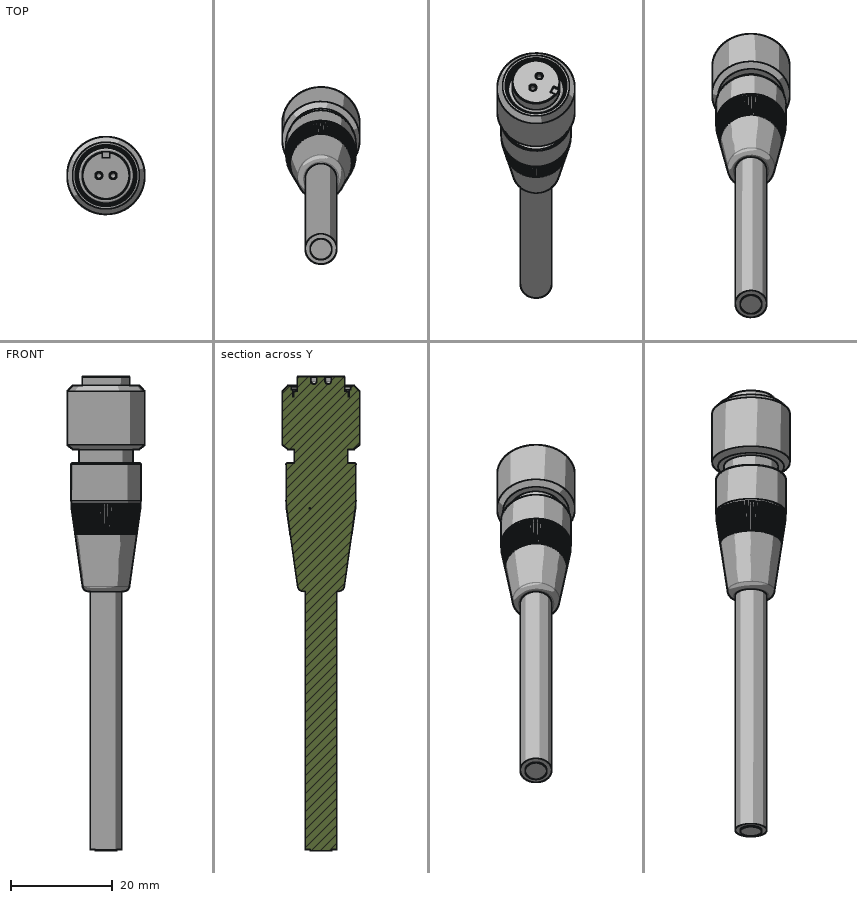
import cadquery as cq

TOTAL_LENGTH = 93.27

CABLE_DIAMETER = 6.22
CORE_DIAMETER = 4.27
CORE_PROTRUSION = 0.25

BOOT_BOTTOM = TOTAL_LENGTH - 42.3
BOOT_TIP_DIAMETER = 9.0
BOOT_TIP_ROUND = 1.2
BOOT_SHOULDER_DIAMETER = 13.7
BOOT_SHOULDER_BOTTOM = TOTAL_LENGTH - 25.6
COLLAR_DIAMETER = 13.8
COLLAR_BOTTOM = TOTAL_LENGTH - 24.5
COLLAR_TOP = TOTAL_LENGTH - 17.0
COLLAR_CHAMFER = 0.25

GROOVE_COUNT = 60
GROOVE_SHARE = 0.5
GROOVE_DEPTH = 0.2
GROOVE_TOP = TOTAL_LENGTH - 24.95
GROOVE_BOTTOM = TOTAL_LENGTH - 31.0

NECK_DIAMETER = 10.67

NUT_DIAMETER = 15.34
NUT_TOP = TOTAL_LENGTH - 1.8
NUT_BOTTOM = TOTAL_LENGTH - 14.4
NUT_TOP_CHAMFER_HEIGHT = 1.15
NUT_BOTTOM_CHAMFER_HEIGHT = 0.9
NUT_TOP_FACE_DIAMETER = 13.15
NUT_BOTTOM_FACE_DIAMETER = 13.0
NUT_BORE_DIAMETER = 11.68
NUT_BORE_MOUTH_DIAMETER = 12.12
NUT_LEDGE_DEPTH = 0.8
NUT_INNER_BORE_DIAMETER = 11.1
NUT_BORE_DEPTH = 2.2

INSERT_DIAMETER = 9.4
INSERT_CHAMFER = 0.15

SEAL_INNER_DIAMETER = 8.9
SEAL_OUTER_DIAMETER = 10.9
SEAL_TOP = NUT_TOP - 1.1

SOCKET_SPACING = 2.8
SOCKET_DIAMETER = 1.14
SOCKET_MOUTH_DIAMETER = 1.5
SOCKET_DEPTH = 1.5

KEYWAY_WIDTH = 1.4
KEYWAY_FLOOR_RADIUS = 3.5
KEYWAY_DEPTH = 0.6


def cylinder(diameter, bottom, top):
    return cq.Workplane("XY").workplane(offset=bottom).circle(diameter / 2).extrude(top - bottom)


def make_cable():
    jacket = cylinder(CABLE_DIAMETER, CORE_PROTRUSION, BOOT_BOTTOM)
    core = cylinder(CORE_DIAMETER, 0, CORE_PROTRUSION)
    return jacket.union(core)


def make_boot():
    shoulder_radius = BOOT_SHOULDER_DIAMETER / 2
    body = (
        cq.Workplane("XZ")
        .moveTo(0, BOOT_BOTTOM)
        .lineTo(BOOT_TIP_DIAMETER / 2, BOOT_BOTTOM)
        .lineTo(shoulder_radius, BOOT_SHOULDER_BOTTOM)
        .lineTo(shoulder_radius, COLLAR_BOTTOM)
        .lineTo(0, COLLAR_BOTTOM)
        .close()
        .revolve(360, (0, 0), (0, 1))
        .faces("<Z")
        .edges()
        .fillet(BOOT_TIP_ROUND)
    )
    collar = cylinder(COLLAR_DIAMETER, COLLAR_BOTTOM, COLLAR_TOP)
    collar = collar.faces(">Z").edges().chamfer(COLLAR_CHAMFER)
    return cut_grip_grooves(body).union(collar)


def boot_cone_radius(height):
    """Radius of the tapered part of the boot at a height below its shoulder."""
    rise = (height - BOOT_BOTTOM) / (BOOT_SHOULDER_BOTTOM - BOOT_BOTTOM)
    return (BOOT_TIP_DIAMETER + rise * (BOOT_SHOULDER_DIAMETER - BOOT_TIP_DIAMETER)) / 2


def cut_grip_grooves(body):
    pitch_angle = 360 / GROOVE_COUNT
    groove_angle = pitch_angle * GROOVE_SHARE
    shoulder_floor = BOOT_SHOULDER_DIAMETER / 2 - GROOVE_DEPTH
    bottom_floor = boot_cone_radius(GROOVE_BOTTOM) - GROOVE_DEPTH
    clear_radius = COLLAR_DIAMETER
    groove = (
        cq.Workplane("XZ")
        .moveTo(bottom_floor, GROOVE_BOTTOM)
        .lineTo(clear_radius, GROOVE_BOTTOM)
        .lineTo(clear_radius, GROOVE_TOP)
        .lineTo(shoulder_floor, GROOVE_TOP)
        .lineTo(shoulder_floor, BOOT_SHOULDER_BOTTOM)
        .close()
        .revolve(groove_angle, (0, 0), (0, 1))
        .rotate((0, 0, 0), (0, 0, 1), groove_angle / 2)
    )
    grooves = [
        groove.rotate((0, 0, 0), (0, 0, 1), pitch_angle * index).val()
        for index in range(GROOVE_COUNT)
    ]
    return body.cut(cq.Compound.makeCompound(grooves))


def make_nut():
    radius = NUT_DIAMETER / 2
    bore_radius = NUT_BORE_DIAMETER / 2
    mouth_radius = NUT_BORE_MOUTH_DIAMETER / 2
    inner_radius = NUT_INNER_BORE_DIAMETER / 2
    ledge = NUT_TOP - NUT_LEDGE_DEPTH
    bore_floor = NUT_TOP - NUT_BORE_DEPTH
    mouth_chamfer = mouth_radius - bore_radius
    return (
        cq.Workplane("XZ")
        .moveTo(0, NUT_BOTTOM)
        .lineTo(NUT_BOTTOM_FACE_DIAMETER / 2, NUT_BOTTOM)
        .lineTo(radius, NUT_BOTTOM + NUT_BOTTOM_CHAMFER_HEIGHT)
        .lineTo(radius, NUT_TOP - NUT_TOP_CHAMFER_HEIGHT)
        .lineTo(NUT_TOP_FACE_DIAMETER / 2, NUT_TOP)
        .lineTo(mouth_radius, NUT_TOP)
        .lineTo(bore_radius, NUT_TOP - mouth_chamfer)
        .lineTo(bore_radius, ledge)
        .lineTo(inner_radius, ledge)
        .lineTo(inner_radius, bore_floor)
        .lineTo(0, bore_floor)
        .close()
        .revolve(360, (0, 0), (0, 1))
    )


def make_seal():
    inner_radius = SEAL_INNER_DIAMETER / 2
    outer_radius = SEAL_OUTER_DIAMETER / 2
    rim_radius = (outer_radius - inner_radius) / 2
    bore_floor = NUT_TOP - NUT_BORE_DEPTH
    rim_base = SEAL_TOP - rim_radius
    return (
        cq.Workplane("XZ")
        .moveTo(inner_radius, bore_floor)
        .lineTo(outer_radius, bore_floor)
        .lineTo(outer_radius, rim_base)
        .threePointArc((inner_radius + rim_radius, SEAL_TOP), (inner_radius, rim_base))
        .close()
        .revolve(360, (0, 0), (0, 1))
    )


def make_socket_cutter():
    """Countersunk bore with a rounded end, its mouth centred on the origin."""
    bore_radius = SOCKET_DIAMETER / 2
    mouth_radius = SOCKET_MOUTH_DIAMETER / 2
    return (
        cq.Workplane("XZ")
        .moveTo(0, 0)
        .lineTo(mouth_radius, 0)
        .lineTo(bore_radius, bore_radius - mouth_radius)
        .lineTo(bore_radius, bore_radius - SOCKET_DEPTH)
        .radiusArc((0, -SOCKET_DEPTH), bore_radius)
        .close()
        .revolve(360, (0, 0), (0, 1))
    )


def make_insert():
    insert = cylinder(INSERT_DIAMETER, NUT_TOP - NUT_BORE_DEPTH, TOTAL_LENGTH)
    insert = insert.faces(">Z").edges().chamfer(INSERT_CHAMFER)
    keyway_length = INSERT_DIAMETER / 2 - KEYWAY_FLOOR_RADIUS
    keyway = (
        cq.Workplane("XY")
        .workplane(offset=TOTAL_LENGTH)
        .center(0, KEYWAY_FLOOR_RADIUS + keyway_length / 2)
        .rect(KEYWAY_WIDTH, keyway_length)
        .extrude(-KEYWAY_DEPTH)
    )
    insert = insert.cut(keyway)
    for side in (-1, 1):
        socket_mouth = (side * SOCKET_SPACING / 2, 0, TOTAL_LENGTH)
        insert = insert.cut(make_socket_cutter().translate(socket_mouth))
    return insert


neck = cylinder(NECK_DIAMETER, COLLAR_TOP, NUT_BOTTOM)
result = make_cable().union(make_boot()).union(neck).union(make_nut())
result = result.union(make_seal()).union(make_insert())